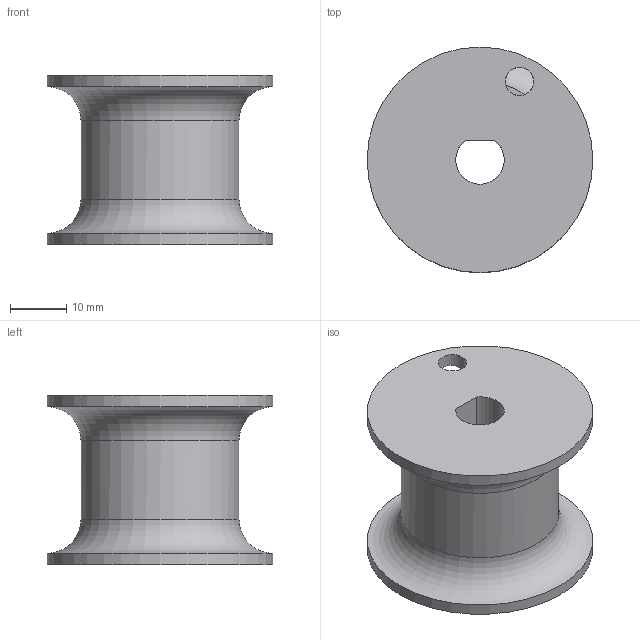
import cadquery as cq
import math

height = 30.0
flange_radius = 20.0
flange_thickness = 2.0
core_radius = 14.0
flare_radius = flange_radius - core_radius

bore_diameter = 8.6
bore_flat_offset = 3.4

cord_hole_diameter = 5.0
cord_hole_x = 7.0
cord_hole_y = 13.9
cord_hole_depth = flange_thickness + flare_radius


def make_spool():
    """Solid of revolution about Z: two flanges flaring into a cylindrical core."""
    lower_rim = flange_thickness
    upper_rim = height - flange_thickness
    lower_flare_end = lower_rim + flare_radius
    upper_flare_end = upper_rim - flare_radius
    arc_reach = flare_radius * math.sqrt(0.5)
    arc_mid_radius = flange_radius - arc_reach
    return (
        cq.Workplane("XZ")
        .lineTo(flange_radius, 0)
        .lineTo(flange_radius, lower_rim)
        .threePointArc((arc_mid_radius, lower_flare_end - arc_reach), (core_radius, lower_flare_end))
        .lineTo(core_radius, upper_flare_end)
        .threePointArc((arc_mid_radius, upper_flare_end + arc_reach), (flange_radius, upper_rim))
        .lineTo(flange_radius, height)
        .lineTo(0, height)
        .close()
        .revolve(360, (0, 0, 0), (0, 1, 0))
    )


def make_bore():
    """Through bore with a flat on its +Y side."""
    bore_radius = bore_diameter / 2
    flat_half_width = math.sqrt(bore_radius**2 - bore_flat_offset**2)
    return (
        cq.Workplane("XY")
        .moveTo(-flat_half_width, bore_flat_offset)
        .threePointArc((0, -bore_radius), (flat_half_width, bore_flat_offset))
        .close()
        .extrude(height)
    )


def make_cord_hole():
    """Vertical hole sunk from the top face through the upper flange and flare."""
    return (
        cq.Workplane("XY", origin=(cord_hole_x, cord_hole_y, height - cord_hole_depth))
        .circle(cord_hole_diameter / 2)
        .extrude(cord_hole_depth)
    )


result = make_spool().cut(make_bore()).cut(make_cord_hole())